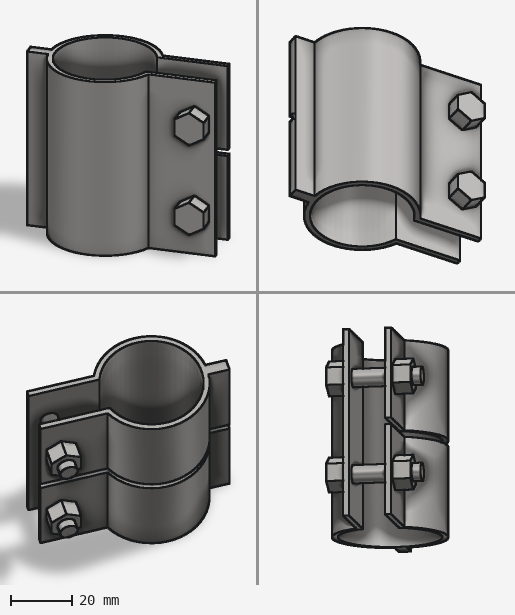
import cadquery as cq
import math

height = 62.0
outer_radius = 19.0
wall = 2.0
inner_radius = outer_radius - wall

total_length = 66.0
rib_tip = 26.0
flange_end = total_length - rib_tip
flange_gap = 12.0
flange_outer_y = flange_gap / 2 + wall

rib_width = 4.0

bolt_diameter = 6.0
hex_across_flats = 10.0
hex_corner_diameter = hex_across_flats / math.cos(math.pi / 6)
hex_thickness = 6.0
bolt_protrusion = 3.0
bolt_edge_distance = 7.0
bolt_x = flange_end - bolt_edge_distance
bolt_spacing = 31.95

slot_width = 2.2


def box(x_min, x_max, y_min, y_max, z_size):
    """Box centred on mid-height, given its X and Y limits."""
    return (
        cq.Workplane("XY")
        .box(x_max - x_min, y_max - y_min, z_size, centered=(False, False, True))
        .translate((x_min, y_min, 0))
    )


def cylinder(radius):
    return cq.Workplane("XY").circle(radius).extrude(height / 2, both=True)


def make_body():
    """Tube with an open mouth, two flanges and a rib."""
    flange_block = box(0, flange_end, -flange_outer_y, flange_outer_y, height)
    mouth = box(0, flange_end, -flange_gap / 2, flange_gap / 2, height)
    rib = box(-rib_tip, 0, -rib_width / 2, rib_width / 2, height)
    body = cylinder(outer_radius).union(flange_block).union(rib)
    return body.cut(cylinder(inner_radius)).cut(mouth)


def hexagon(y_start):
    """Hexagonal prism extending in +Y from y_start."""
    plane = cq.Workplane("XZ", origin=(bolt_x, y_start, 0))
    return (
        plane.transformed(rotate=(0, 0, 90))
        .polygon(6, hex_corner_diameter)
        .extrude(-hex_thickness)
    )


def make_bolt():
    """Hexagonal head, shank and nut, at mid-height."""
    shank_end = flange_outer_y + hex_thickness + bolt_protrusion
    shank = (
        cq.Workplane("XZ", origin=(bolt_x, -flange_outer_y, 0))
        .circle(bolt_diameter / 2)
        .extrude(-(shank_end + flange_outer_y))
    )
    head = hexagon(-flange_outer_y - hex_thickness)
    nut = hexagon(flange_outer_y)
    return shank.union(head).union(nut)


slot = box(-rib_tip, flange_end, 0, outer_radius, slot_width)
result = make_body().cut(slot)
for bolt_z in (-bolt_spacing / 2, bolt_spacing / 2):
    result = result.union(make_bolt().translate((0, 0, bolt_z)))